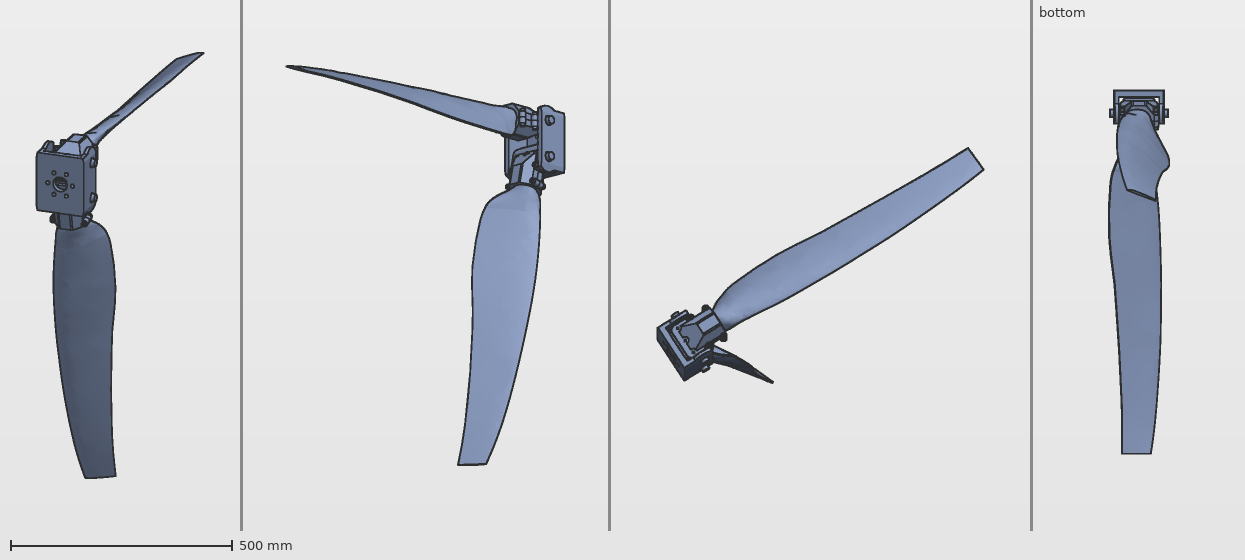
import cadquery as cq
import math

pin_half_spacing = 42.3
hub_half_width = 57.5
wall_inner_x = 45.5
plate_back_y = -52.0
plate_thickness = 15.0
plate_half_height = 70.0
wall_front_y = 23.5
ear_radius = 35.2
bevel_start_z = 59.0
bevel_depth = 4.0
shaft_hole_diameter = 34.0
bolt_circle_radius = 30.0
bolt_hole_diameter = 8.5
bolt_hole_count = 6

pin_diameter = 18.0
pin_half_length = 66.0
pin_hole_clearance = 4.0

root_axis_z = -2.5
clamp_half_height = 36.5
clamp_front_y = 73.0
clamp_back_y = -29.0
clamp_top_half_width = 13.0
clamp_edge_half_width = 17.0
clamp_edge_drop = 1.5
clamp_half_width = 34.0
clamp_shoulder_height = 15.0
slope_start_y = 26.0
slope_end_y = -15.0
hinge_half_width = 43.0
hinge_corner_radius = 12.0
flange_thickness = 13.0
flange_front_y = 15.0
lip_half_width = 36.0
lip_back_y = -35.0
lip_height = 5.0
lip_corner_radius = 8.0
lug_reach = 44.7
lug_width = 15.0
lug_corner_radius = 6.75
lug_height = 14.0
lug_boss_diameter = 11.0
lug_boss_height = 20.0
lug_positions = (65.0, 25.0)
lug_bolt_x = 38.0
clamp_bolt_diameter = 5.0
spot_face_diameter = 16.0
rear_bolts = [(-33.0, -13.0), (0.0, -14.0), (33.0, -13.0)]

root_radius = 27.0
root_inner_y = 20.0
trailing_edge_thickness = 3.0
fairing_end_y = 132.0
blade_tip_y = 770.07
lower_blade_fold = 12.15

face_profile = [(0.07, 0.55), (0.3, 1.0), (0.65, 0.8)]

blade_stations = [
    (94.0, (29.0, 22.0), (-42.0, -41.0), 25.0, 21.0),
    (114.0, (32.0, 23.0), (-52.0, -56.0), 24.0, 15.0),
    (fairing_end_y, (35.0, 24.0), (-59.0, -61.0), 23.0, 11.0),
    (175.0, (40.0, 26.0), (-66.0, -64.0), 21.0, 8.0),
    (225.0, (45.0, 27.0), (-68.1, -64.0), 19.0, 6.0),
    (285.0, (48.0, 28.0), (-67.0, -62.0), 17.0, 6.0),
    (355.0, (50.0, 26.5), (-59.0, -55.0), 14.0, 5.0),
    (430.0, (50.0, 23.0), (-52.0, -46.0), 12.0, 4.0),
    (510.0, (49.0, 18.0), (-46.5, -39.5), 10.0, 4.0),
    (590.0, (45.0, 13.0), (-42.0, -35.5), 8.0, 3.5),
    (660.0, (40.0, 6.5), (-39.0, -33.5), 6.0, 3.0),
    (720.0, (34.0, -2.0), (-38.0, -33.5), 5.0, 2.0),
    (blade_tip_y, (27.0, -11.0), (-38.0, -35.5), 4.0, 1.5),
]


def centred_box(size_x, y_min, y_max, z_min, z_max):
    """Box symmetric about X = 0."""
    box = cq.Workplane("XY").box(size_x, y_max - y_min, z_max - z_min, centered=(True, False, False))
    return box.translate((0, y_min, z_min))


def x_cylinder(diameter, half_length, z=0.0):
    """Cylinder along X, symmetric about X = 0."""
    return cq.Workplane("YZ").center(0, z).circle(diameter / 2).extrude(half_length, both=True)


def make_hub():
    """Channel with an ear around each pin at the ends of both side walls."""
    plate_front_y = plate_back_y + plate_thickness
    front_drop = math.sqrt(ear_radius**2 - wall_front_y**2)
    ear_top_z = pin_half_spacing + ear_radius
    wall_corner_z = pin_half_spacing + front_drop
    plate_meet_y = -math.sqrt(ear_radius**2 - (plate_half_height - pin_half_spacing) ** 2)

    hub = (
        cq.Workplane("YZ")
        .moveTo(plate_back_y, -plate_half_height)
        .lineTo(plate_meet_y, -plate_half_height)
        .threePointArc((0, -ear_top_z), (wall_front_y, -wall_corner_z))
        .lineTo(wall_front_y, wall_corner_z)
        .threePointArc((0, ear_top_z), (plate_meet_y, plate_half_height))
        .lineTo(plate_back_y, plate_half_height)
        .close()
        .extrude(hub_half_width, both=True)
    )
    hub = hub.cut(centred_box(2 * wall_inner_x, plate_front_y, ear_top_z, -ear_top_z, ear_top_z))

    envelope = (
        cq.Workplane("XZ")
        .polyline([
            (-hub_half_width, -bevel_start_z),
            (-hub_half_width + bevel_depth, -ear_top_z),
            (hub_half_width - bevel_depth, -ear_top_z),
            (hub_half_width, -bevel_start_z),
            (hub_half_width, bevel_start_z),
            (hub_half_width - bevel_depth, ear_top_z),
            (-hub_half_width + bevel_depth, ear_top_z),
            (-hub_half_width, bevel_start_z),
        ])
        .close()
        .extrude(ear_top_z, both=True)
    )
    hub = hub.intersect(envelope)

    for z in (-pin_half_spacing, pin_half_spacing):
        hub = hub.cut(x_cylinder(pin_diameter + pin_hole_clearance, hub_half_width, z=z))
    shaft_hole = cq.Workplane("XZ").circle(shaft_hole_diameter / 2).extrude(-plate_back_y)
    bolt_holes = (
        cq.Workplane("XZ")
        .polarArray(bolt_circle_radius, 0, 360, bolt_hole_count)
        .circle(bolt_hole_diameter / 2)
        .extrude(-plate_back_y)
    )
    return hub.cut(shaft_hole).cut(bolt_holes)


def section_wire(y, leading, trailing, convex_bulge, flat_bulge):
    """Lens-shaped blade section with a round nose and a blunt trailing edge."""
    chord = math.dist(leading, trailing)
    along = ((trailing[0] - leading[0]) / chord, (trailing[1] - leading[1]) / chord)
    across = (-along[1], along[0])

    def place(fraction, offset):
        x = leading[0] + along[0] * fraction * chord + across[0] * offset
        z = leading[1] + along[1] * fraction * chord + across[1] * offset
        return cq.Vector(x, y, z)

    tail = trailing_edge_thickness / 2
    flat_face = [place(along_chord, flat_bulge * height) for along_chord, height in face_profile]
    convex_face = [place(along_chord, -convex_bulge * height) for along_chord, height in face_profile]
    points = [place(1, tail), *reversed(flat_face), place(0, 0), *convex_face, place(1, -tail)]
    return cq.Wire.assembleEdges([cq.Edge.makeSpline(points), cq.Edge.makeLine(points[-1], points[0])])


def root_wire(leading, trailing):
    """Circle at the clamp face with a small flat lined up with the trailing edge."""
    angle = math.atan2(trailing[1] - leading[1], trailing[0] - leading[0])
    half_flat = math.asin(trailing_edge_thickness / 2 / root_radius)

    def on_circle(a):
        return cq.Vector(root_radius * math.cos(a), clamp_front_y, root_axis_z + root_radius * math.sin(a))

    start = on_circle(angle + half_flat)
    end = on_circle(angle - half_flat)
    arc = cq.Edge.makeThreePointArc(start, on_circle(angle + math.pi), end)
    return cq.Wire.assembleEdges([arc, cq.Edge.makeLine(end, start)])


def make_shank():
    """Round blade root, which is also the shape of its socket in the clamp."""
    return (
        cq.Workplane("XZ", origin=(0, root_inner_y, root_axis_z))
        .circle(root_radius)
        .extrude(root_inner_y - clamp_front_y)
    )


def make_blade():
    """Shank, the fairing that flattens it, and the twisted blade."""
    fairing_wires = [section_wire(*s) for s in blade_stations if s[0] <= fairing_end_y]
    blade_wires = [section_wire(*s) for s in blade_stations if s[0] >= fairing_end_y]
    first = blade_stations[0]
    fairing = cq.Solid.makeLoft([root_wire(first[1], first[2])] + fairing_wires)
    blade = cq.Solid.makeLoft(blade_wires)
    return make_shank().union(cq.Workplane(fairing)).union(cq.Workplane(blade))


def make_clamp_half(side):
    """Half clamp on the +Z (side = 1) or -Z (side = -1) side of the blade root."""
    edge_height = clamp_half_height - clamp_edge_drop
    body = (
        cq.Workplane("XZ", origin=(0, clamp_front_y, 0))
        .polyline([
            (-clamp_half_width, 0),
            (-clamp_half_width, clamp_shoulder_height),
            (-clamp_edge_half_width, edge_height),
            (-clamp_top_half_width, clamp_half_height),
            (clamp_top_half_width, clamp_half_height),
            (clamp_edge_half_width, edge_height),
            (clamp_half_width, clamp_shoulder_height),
            (clamp_half_width, 0),
        ])
        .close()
        .extrude(clamp_front_y - clamp_back_y)
    )
    slope_cut = (
        cq.Workplane("YZ")
        .polyline([
            (slope_start_y, clamp_half_height),
            (slope_end_y, flange_thickness),
            (clamp_back_y, flange_thickness),
            (clamp_back_y, clamp_half_height),
        ])
        .close()
        .extrude(hinge_half_width, both=True)
    )
    body = body.cut(slope_cut)
    flange = (
        centred_box(2 * hinge_half_width, clamp_back_y, flange_front_y, 0, flange_thickness)
        .edges("|Z and <Y").fillet(hinge_corner_radius)
    )
    lip = (
        centred_box(2 * lip_half_width, lip_back_y, slope_end_y, 0, lip_height)
        .edges("|Z and <Y").fillet(lip_corner_radius)
    )
    body = body.union(flange).union(lip)

    for y in lug_positions:
        lug = centred_box(2 * lug_reach, y - lug_width / 2, y + lug_width / 2, 0, lug_height)
        body = body.union(lug.edges("|Z").fillet(lug_corner_radius))
    lug_bolts = [(x, y) for x in (-lug_bolt_x, lug_bolt_x) for y in lug_positions]
    lug_bosses = (
        cq.Workplane("XY")
        .pushPoints(lug_bolts)
        .circle(lug_boss_diameter / 2)
        .extrude(lug_boss_height)
    )
    body = body.union(lug_bosses)

    spot_faces = (
        cq.Workplane("XY", origin=(0, 0, flange_thickness))
        .pushPoints(rear_bolts)
        .circle(spot_face_diameter / 2)
        .extrude(clamp_half_height)
    )
    bolt_holes = (
        cq.Workplane("XY")
        .pushPoints(lug_bolts + rear_bolts)
        .circle(clamp_bolt_diameter / 2)
        .extrude(clamp_half_height)
    )
    body = body.cut(spot_faces).cut(bolt_holes)

    if side < 0:
        body = body.mirror("XY")
    body = body.translate((0, 0, root_axis_z))
    return body.cut(make_shank()).cut(x_cylinder(pin_diameter, pin_half_length))


def place_upper(body):
    """Folded fully back, pointing along +Y."""
    return body.translate((0, 0, pin_half_spacing))


def place_lower(body):
    """Turned half a turn about Y, swung down and leaning toward +Y by the fold angle."""
    turned = body.rotate((0, 0, 0), (0, 1, 0), 180)
    swung = turned.rotate((0, 0, 0), (1, 0, 0), lower_blade_fold - 90)
    return swung.translate((0, 0, -pin_half_spacing))


hub = make_hub()
pins = [x_cylinder(pin_diameter, pin_half_length, z=z) for z in (pin_half_spacing, -pin_half_spacing)]
blade = make_blade()
clamp_halves = [make_clamp_half(side) for side in (1, -1)]

bodies = [hub, *pins]
for place in (place_upper, place_lower):
    bodies += [place(blade), *[place(half) for half in clamp_halves]]

result = cq.Compound.makeCompound([body.solids().val() for body in bodies])